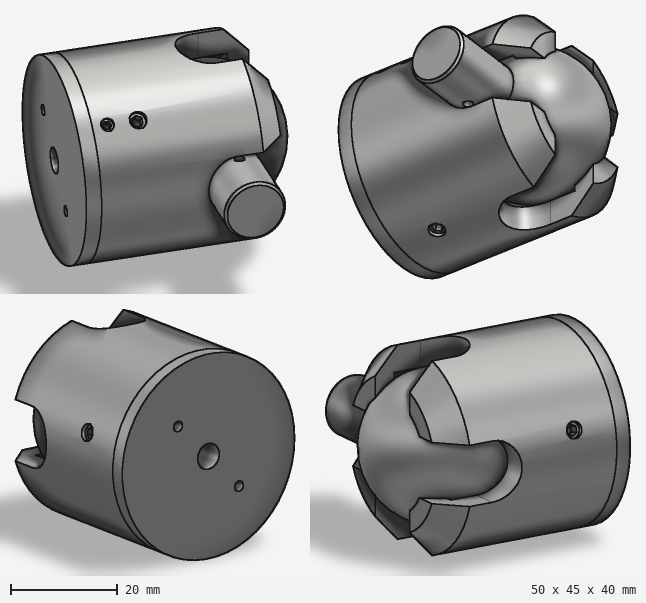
import cadquery as cq
import math


outer_radius = 20.0
cover_thickness = 3.0
housing_top = 40.0
housing_chamfer = 5.0
bore_radius = 15.0
bore_shoulder_height = 35.75

ball_radius = bore_radius
ball_height = 30.0
post_radius = 6.0
post_end = 30.0
post_chamfer = 0.5
cross_hole_radius = 1.0
cross_hole_x = outer_radius

spigot_top = 9.0
plunger_top = 20.0
center_hole_radius = 2.5
pin_hole_radius = 1.0
pin_hole_depth = cover_thickness
pin_circle_radius = 10.0
pin_hole_angles = (135.0, 315.0)

first_screw_angle = 45.0
lock_screw_count = 3
lock_screw_height = 12.0
lock_screw_radius = 1.65
lock_screw_recess = 0.9
lock_hex_flats = 2.0
lock_hex_depth = 2.0
cover_screw_height = 6.0
cover_screw_radius = 1.25
cover_screw_recess = 0.5
cover_hex_flats = 1.5
cover_hex_depth = 1.5
drill_point_half_angle = 59.0
lock_hex_turn = 30.0
cover_hex_turn = 0.0

cut_margin = 0.5
cut_reach = outer_radius + cut_margin


def axial_cylinder(radius, start, end):
    """Cylinder on the housing axis from Y = start to Y = end."""
    return cq.Workplane("XZ", origin=(0, start, 0)).circle(radius).extrude(start - end)


def ball_sphere():
    return cq.Workplane("XY", origin=(0, ball_height, 0)).sphere(ball_radius)


def radial_plane(angle, height, radius):
    """Workplane facing outwards at a distance from the axis, with its own X along the axis."""
    turn = math.radians(angle)
    outward = (math.cos(turn), 0, math.sin(turn))
    origin = (radius * outward[0], height, radius * outward[2])
    return cq.Workplane(cq.Plane(origin=origin, xDir=(0, 1, 0), normal=outward))


def radial_hole(angle, height, radius):
    """Cutter for a hole from the housing axis out through its side."""
    return radial_plane(angle, height, 0).circle(radius).extrude(cut_reach)


def hex_socket(angle, height, head_radius, flats, depth, turn_angle):
    """Cutter for a hexagon socket that ends in a drill point."""
    corner_radius = flats / math.sqrt(3)
    point_depth = flats / 2 / math.tan(math.radians(drill_point_half_angle))
    mouth = radial_plane(angle, height, head_radius).transformed(rotate=(0, 0, turn_angle))
    hexagon = mouth.polygon(6, 2 * corner_radius).extrude(-depth)
    inward = mouth.plane.zDir * -1
    floor_center = mouth.plane.origin + inward * depth
    point = cq.Workplane(cq.Solid.makeCone(flats / 2, 0, point_depth, pnt=floor_center, dir=inward))
    return hexagon.union(point)


def make_lock_screw(angle):
    head_radius = outer_radius - lock_screw_recess
    shank = radial_plane(angle, lock_screw_height, bore_radius).circle(lock_screw_radius)
    shank = shank.extrude(head_radius - bore_radius)
    return shank.cut(
        hex_socket(angle, lock_screw_height, head_radius, lock_hex_flats, lock_hex_depth, lock_hex_turn)
    )


def make_cover_screw(angle):
    head_radius = outer_radius - cover_screw_recess
    shank = radial_plane(angle, cover_screw_height, bore_radius).circle(cover_screw_radius)
    shank = shank.extrude(head_radius - bore_radius)
    return shank.cut(
        hex_socket(angle, cover_screw_height, head_radius, cover_hex_flats, cover_hex_depth, cover_hex_turn)
    )


def slot_cutter(face_normal):
    """Round-bottomed slot as wide as the post, across the housing along X or Z, open at the top."""
    straight_length = housing_top + cut_margin - ball_height
    profile_plane = cq.Plane(origin=(0, ball_height, 0), xDir=(0, 1, 0), normal=face_normal)
    profile = (
        cq.Workplane(profile_plane)
        .moveTo(straight_length, post_radius)
        .lineTo(0, post_radius)
        .threePointArc((-post_radius, 0), (0, -post_radius))
        .lineTo(straight_length, -post_radius)
        .close()
    )
    return profile.extrude(cut_reach, both=True)


def make_housing(lock_angles):
    body = axial_cylinder(outer_radius, cover_thickness, housing_top)
    body = body.faces(">Y").chamfer(housing_chamfer)
    body = body.cut(axial_cylinder(bore_radius, cover_thickness, bore_shoulder_height))
    body = body.cut(ball_sphere())
    for face_normal in ((1, 0, 0), (0, 0, 1)):
        body = body.cut(slot_cutter(face_normal))
    for angle in lock_angles:
        body = body.cut(radial_hole(angle, lock_screw_height, lock_screw_radius))
    return body.cut(radial_hole(first_screw_angle, cover_screw_height, cover_screw_radius))


def make_cover():
    """Flange with a spigot in the bore, a central through hole and two blind pin holes."""
    cover = axial_cylinder(outer_radius, 0, cover_thickness)
    cover = cover.union(axial_cylinder(bore_radius, cover_thickness, spigot_top))
    cover = cover.cut(axial_cylinder(center_hole_radius, 0, spigot_top))
    for angle in pin_hole_angles:
        x = pin_circle_radius * math.cos(math.radians(angle))
        z = pin_circle_radius * math.sin(math.radians(angle))
        cover = cover.cut(axial_cylinder(pin_hole_radius, 0, pin_hole_depth).translate((x, 0, z)))
    return cover


def make_plunger():
    """Disc between the cover and the ball, with a spherical seat under the ball."""
    return axial_cylinder(bore_radius, spigot_top, plunger_top).cut(ball_sphere())


def make_ball():
    """Ball with its post along +X and a cross hole through the post."""
    post = cq.Workplane("YZ").center(ball_height, 0).circle(post_radius).extrude(post_end)
    post = post.faces(">X").chamfer(post_chamfer)
    cross_hole = cq.Workplane("XY").center(cross_hole_x, ball_height).circle(cross_hole_radius)
    cross_hole = cross_hole.extrude(post_radius + cut_margin, both=True)
    return ball_sphere().union(post).cut(cross_hole)


lock_screw_angles = [first_screw_angle + i * 360.0 / lock_screw_count for i in range(lock_screw_count)]

housing = make_housing(lock_screw_angles)
cover = make_cover()
plunger = make_plunger()
ball = make_ball()
lock_screws = [make_lock_screw(angle).val() for angle in lock_screw_angles]
cover_screw = make_cover_screw(first_screw_angle)

result = cq.Compound.makeCompound(
    [housing.val(), cover.val(), plunger.val(), ball.val(), *lock_screws, cover_screw.val()]
)